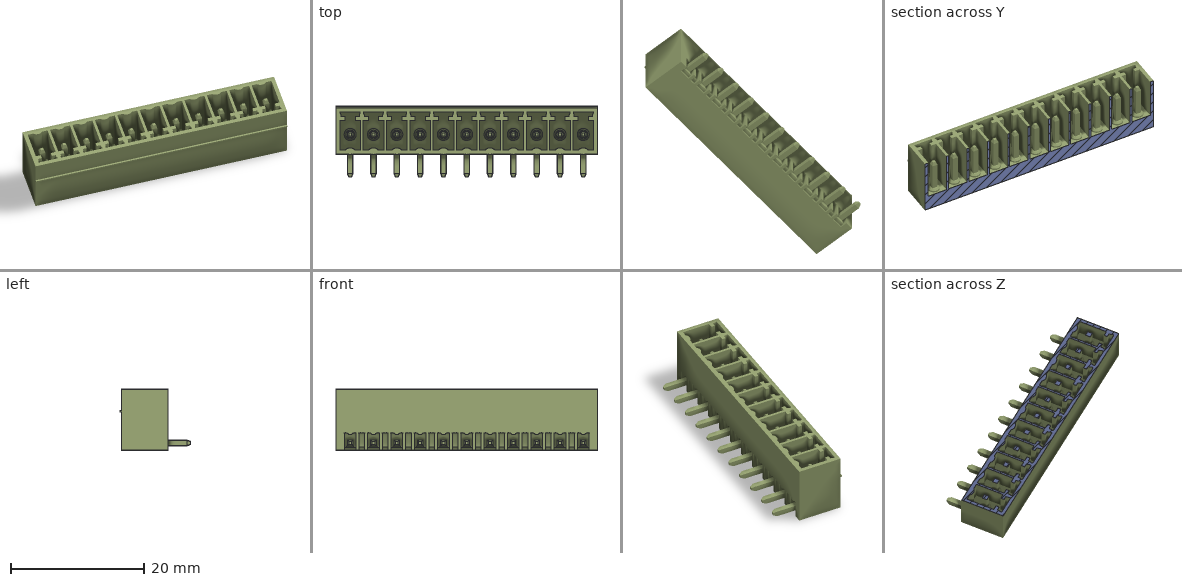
import cadquery as cq

POSITIONS = 11
PITCH = 3.5
HOUSING_LENGTH = 39.3
HOUSING_DEPTH = 7.0
HOUSING_HEIGHT = 9.2
FIRST_PIN_X = (HOUSING_LENGTH - (POSITIONS - 1) * PITCH) / 2
PIN_XS = [FIRST_PIN_X + i * PITCH for i in range(POSITIONS)]
BETWEEN_PIN_XS = [x + PITCH / 2 for x in PIN_XS[:-1]]

RAIL_OUT = 0.25
RAIL_HEIGHT = 0.25
RAIL_Z = 5.85

POCKET_WIDTH = 3.1
FLOOR_Z = 2.6
FRONT_WALL = 0.7
BACK_WALL = 0.6
LIP_FRONT_Y = 5.1
LIP_BACK_Y = 5.7
NECK_WIDTH = 1.55
KEY_BACK_WIDTH = 2.98
KEY_FRONT_WIDTH = 2.76
KEY_TAPER_START_Y = 5.95
KEY_TAPER_END_Y = 6.2
FRONT_BUMP_RADIUS = 1.0

PIN_SIZE = 0.85
PIN_TIP_SIZE = 0.42
PIN_TIP_LENGTH = 0.55
PIN_Z = 1.1
PIN_Y = 3.0
PIN_OUT = 3.4
PIN_TOP_Z = 8.0

COLLAR_DIAMETER = 1.8
COLLAR_HEIGHT = 0.5
COLLAR_CHAMFER = 0.25

RECESS_HEIGHT = 2.6
RECESS_DEPTH = 0.6
PIN_RECESS_WIDTH = 1.75
GAP_RECESS_WIDTH = 0.85
UNDERCUT_DEPTH = 0.5
PIN_UNDERCUT_HEIGHT = 0.4
GAP_UNDERCUT_HEIGHT = 0.5
TAB_TOP_WIDTH = 0.9
TAB_BOTTOM_WIDTH = 0.45
TAB_DROP = 0.22
WEDGE_WIDTH = 1.4
WEDGE_OUT = 0.15


def box(x_center, width, y_min, y_max, z_min, z_max):
    """Axis-aligned block centred on x_center."""
    size = (width, y_max - y_min, z_max - z_min)
    return cq.Workplane("XY").box(*size, centered=(True, False, False)).translate((x_center, y_min, z_min))


def mirrored_outline(right_side):
    """Closed outline from the points of its +X half."""
    return right_side + [(-x, y) for x, y in reversed(right_side)]


def pocket():
    """Plug pocket with a T-shaped key slot at the back and a rounded bump on the front wall."""
    half = POCKET_WIDTH / 2
    outline = mirrored_outline([
        (half, FRONT_WALL),
        (half, LIP_FRONT_Y),
        (NECK_WIDTH / 2, LIP_FRONT_Y),
        (NECK_WIDTH / 2, LIP_BACK_Y),
        (KEY_FRONT_WIDTH / 2, LIP_BACK_Y),
        (KEY_FRONT_WIDTH / 2, KEY_TAPER_START_Y),
        (KEY_BACK_WIDTH / 2, KEY_TAPER_END_Y),
        (KEY_BACK_WIDTH / 2, HOUSING_DEPTH - BACK_WALL),
    ])
    depth = HOUSING_HEIGHT - FLOOR_Z
    base = cq.Workplane("XY").workplane(offset=FLOOR_Z)
    bump = base.circle(FRONT_BUMP_RADIUS).extrude(depth)
    return base.polyline(outline).close().extrude(depth).cut(bump)


def recess(x, width, undercut_height):
    """Front recess that runs out at the bottom, with a deeper undercut along the seating plane."""
    face = box(x, width, 0, RECESS_DEPTH, 0, RECESS_HEIGHT)
    undercut = box(x, width, 0, RECESS_DEPTH + UNDERCUT_DEPTH, 0, undercut_height)
    return face.union(undercut)


def recess_tab():
    """Tapered tab hanging from the ceiling of a pin recess."""
    outline = mirrored_outline([
        (TAB_BOTTOM_WIDTH / 2, RECESS_HEIGHT - TAB_DROP),
        (TAB_TOP_WIDTH / 2, RECESS_HEIGHT),
    ])
    return cq.Workplane("XZ").polyline(outline).close().extrude(-RECESS_DEPTH)


def pin_wedge():
    """Sloping support under the pin, narrowing towards the front."""
    bottom_z = PIN_UNDERCUT_HEIGHT
    pin_bottom_z = PIN_Z - PIN_SIZE / 2
    profile = [
        (RECESS_DEPTH, bottom_z),
        (RECESS_DEPTH - WEDGE_OUT, pin_bottom_z),
        (RECESS_DEPTH, pin_bottom_z),
    ]
    wedge = cq.Workplane("YZ").polyline(profile).close().extrude(WEDGE_WIDTH / 2, both=True)
    sides = mirrored_outline([(WEDGE_WIDTH / 2, bottom_z), (PIN_SIZE / 2, pin_bottom_z)])
    return wedge.intersect(cq.Workplane("XZ").polyline(sides).close().extrude(-RECESS_DEPTH))


def tapered_bar(length):
    """Square wire along +Z from the origin, ending in a pyramid tip."""
    straight = length - PIN_TIP_LENGTH
    bar = cq.Workplane("XY").rect(PIN_SIZE, PIN_SIZE).extrude(straight)
    tip = (
        cq.Workplane("XY").workplane(offset=straight).rect(PIN_SIZE, PIN_SIZE)
        .workplane(offset=PIN_TIP_LENGTH).rect(PIN_TIP_SIZE, PIN_TIP_SIZE).loft()
    )
    return bar.union(tip)


def pin():
    """Right-angle pin with its collar on the pocket floor."""
    pin_bottom_z = PIN_Z - PIN_SIZE / 2
    upright = tapered_bar(PIN_TOP_Z - pin_bottom_z).translate((0, PIN_Y, pin_bottom_z))
    tail = tapered_bar(PIN_Y + PIN_OUT).rotate((0, 0, 0), (1, 0, 0), 90).translate((0, PIN_Y, PIN_Z))
    collar = (
        cq.Workplane("XY").circle(COLLAR_DIAMETER / 2).extrude(COLLAR_HEIGHT)
        .faces(">Z").chamfer(COLLAR_CHAMFER).translate((0, PIN_Y, FLOOR_Z))
    )
    return upright.union(tail).union(collar)


def housing():
    """Plain block with the rail on its back face."""
    middle = HOUSING_LENGTH / 2
    block = box(middle, HOUSING_LENGTH, 0, HOUSING_DEPTH, 0, HOUSING_HEIGHT)
    rail_bottom = RAIL_Z - RAIL_HEIGHT / 2
    rail_back = HOUSING_DEPTH + RAIL_OUT
    rail = box(middle, HOUSING_LENGTH, HOUSING_DEPTH, rail_back, rail_bottom, rail_bottom + RAIL_HEIGHT)
    return block.union(rail)


result = housing()
for x in PIN_XS:
    result = result.cut(pocket().translate((x, 0, 0)))
    result = result.cut(recess(x, PIN_RECESS_WIDTH, PIN_UNDERCUT_HEIGHT))
for x in BETWEEN_PIN_XS:
    result = result.cut(recess(x, GAP_RECESS_WIDTH, GAP_UNDERCUT_HEIGHT))
contact = pin().union(recess_tab()).union(pin_wedge())
for x in PIN_XS:
    result = result.union(contact.translate((x, 0, 0)))